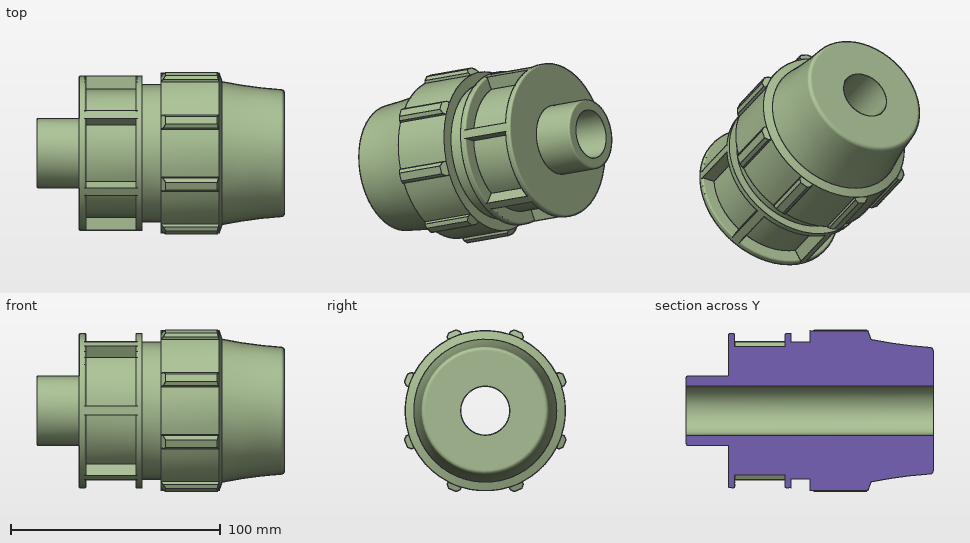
import cadquery as cq
import math

flange_start = 20.1
flange_end = 50.2
nut_start = 59.1
nut_rim = 86.8
sleeve_start = 88.3
overall_length = 118.0

bore_diameter = 23.2
spigot_diameter = 33.3
spigot_edge_radius = 0.8

flange_radius = 73.8 / 2
neck_radius = 65.6 / 2
groove_floor_radius = 30.7
groove_start = 23.4
groove_end = 47.1
flange_edge_radius = 0.8
bar_count = 6
bar_width = 4.2

nut_radius = 38.2
rib_count = 8
rib_top_radius = 41.0
rib_shoulder_radius = 39.4
rib_base_width = 6.8
rib_top_width = 3.9
rib_front_slope_length = 2.2
rib_rear_slope_length = 1.0

sleeve_start_radius = 34.1
sleeve_end_radius = 30.3
sleeve_sag = 0.5
sleeve_edge_radius = 1.8


def disc(start, end, radius):
    """Cylinder on the X axis between two stations."""
    return cq.Workplane("YZ").workplane(offset=start).circle(radius).extrude(end - start)


def make_spigot():
    spigot = disc(0, flange_start, spigot_diameter / 2)
    return spigot.faces("<X").edges().fillet(spigot_edge_radius)


def make_groove():
    """Ring cut from the collar: straight walls that round over at the outer rim."""
    rim_start = groove_start - flange_edge_radius
    rim_end = groove_end + flange_edge_radius
    wall_top_radius = flange_radius - flange_edge_radius
    diagonal = flange_edge_radius * math.sqrt(0.5)
    rim_middle_radius = wall_top_radius + diagonal
    profile = (
        cq.Workplane("XY")
        .moveTo(groove_start, groove_floor_radius)
        .lineTo(groove_start, wall_top_radius)
        .threePointArc((rim_start + diagonal, rim_middle_radius), (rim_start, flange_radius))
        .lineTo(rim_end, flange_radius)
        .threePointArc((rim_end - diagonal, rim_middle_radius), (groove_end, wall_top_radius))
        .lineTo(groove_end, groove_floor_radius)
        .close()
    )
    return profile.revolve(360, (0, 0, 0), (1, 0, 0))


def make_collar():
    """Flanged collar and neck, with the groove divided into pockets by bars."""
    collar = disc(flange_start, flange_end, flange_radius)
    collar = collar.faces("<X").edges().fillet(flange_edge_radius)

    pockets = make_groove()
    bar_pair = cq.Workplane("XY").box(overall_length, 2 * flange_radius + bar_width, bar_width)
    bar_pair = bar_pair.translate((overall_length / 2, 0, 0))
    for index in range(bar_count // 2):
        angle = index * 360 / bar_count
        pockets = pockets.cut(bar_pair.rotate((0, 0, 0), (1, 0, 0), angle))

    neck = disc(flange_end, nut_start, neck_radius)
    return collar.cut(pockets).union(neck)


def make_nut_and_sleeve():
    """Revolved nut body, its rear cone and the concave sleeve."""
    sleeve_end = overall_length - sleeve_edge_radius
    sleeve_middle = (
        (sleeve_start + sleeve_end) / 2,
        (sleeve_start_radius + sleeve_end_radius) / 2 - sleeve_sag,
    )
    edge_diagonal = sleeve_edge_radius * math.sqrt(0.5)
    edge_middle = (
        sleeve_end + edge_diagonal,
        sleeve_end_radius - sleeve_edge_radius + edge_diagonal,
    )
    profile = (
        cq.Workplane("XY")
        .moveTo(nut_start, 0)
        .lineTo(nut_start, nut_radius)
        .lineTo(nut_rim, nut_radius)
        .lineTo(sleeve_start, sleeve_start_radius)
        .threePointArc(sleeve_middle, (sleeve_end, sleeve_end_radius))
        .threePointArc(edge_middle, (overall_length, sleeve_end_radius - sleeve_edge_radius))
        .lineTo(overall_length, 0)
        .close()
    )
    return profile.revolve(360, (0, 0, 0), (1, 0, 0))


def make_rib():
    """One grip rib at +Y: a bevelled bar whose two ends slope up from the nut surface."""
    root_radius = neck_radius
    half_base = rib_base_width / 2
    half_top = rib_top_width / 2
    section = (
        cq.Workplane("YZ")
        .workplane(offset=nut_start)
        .polyline([
            (root_radius, -half_base),
            (rib_shoulder_radius, -half_base),
            (rib_top_radius, -half_top),
            (rib_top_radius, half_top),
            (rib_shoulder_radius, half_base),
            (root_radius, half_base),
        ])
        .close()
        .extrude(nut_rim - nut_start)
    )
    side = (
        cq.Workplane("XY")
        .polyline([
            (nut_start, root_radius),
            (nut_start, nut_radius),
            (nut_start + rib_front_slope_length, rib_top_radius),
            (nut_rim - rib_rear_slope_length, rib_top_radius),
            (nut_rim, nut_radius),
            (nut_rim, root_radius),
        ])
        .close()
        .extrude(half_base, both=True)
    )
    return section.intersect(side)


result = make_nut_and_sleeve().union(make_spigot()).union(make_collar())

rib = make_rib()
for index in range(rib_count):
    rib_angle = (index + 0.5) * 360 / rib_count
    result = result.union(rib.rotate((0, 0, 0), (1, 0, 0), rib_angle))

result = result.cut(disc(0, overall_length, bore_diameter / 2))